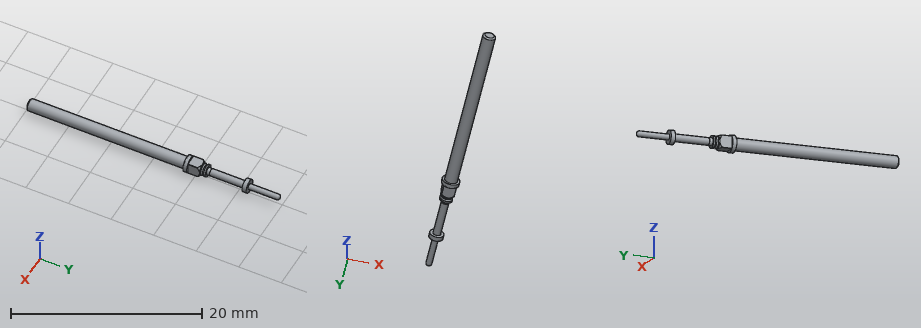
import cadquery as cq
import math

total_length = 29.5
collar_radius = 0.95
collar_length = 0.45
collar_rear = 10.95

tip_radius = 0.33
tip_round = 0.28
rod_radius = 0.42
disc_radius = 0.77
disc_front = 3.6
disc_length = 0.5
neck_start = 8.1
neck_start_radius = 0.38
neck_end_radius = 0.45

barrel_radius = 0.69
barrel_front = 8.45
front_rim_length = 0.2
rear_rim_length = 0.12
groove_length = 0.35
groove_depth = 0.1
rear_edge_length = 0.15
rear_edge_depth = 0.19

square_width = 2 * barrel_radius
cone_length = collar_radius - barrel_radius

disc_rear = disc_front + disc_length
groove_front = barrel_front + front_rim_length
groove_rear = groove_front + groove_length
groove_middle = (groove_front + groove_rear) / 2
cone_front = groove_rear + rear_rim_length
cone_rear = cone_front + cone_length
collar_front = collar_rear - collar_length


def y_at(station):
    """Y coordinate of a distance behind the plunger tip."""
    return collar_rear - station


def revolve_about_y(outline):
    """Turn a closed half outline about the Y axis."""
    return outline.close().revolve(360, (0, 0, 0), (0, 1, 0))


def make_plunger():
    """Round-tipped rod with a disc and a stepped-in neck that flares to the barrel."""
    bend = tip_round * math.sqrt(0.5)
    outline = (
        cq.Workplane("XY")
        .moveTo(0, y_at(0))
        .lineTo(tip_radius - tip_round, y_at(0))
        .threePointArc(
            (tip_radius - tip_round + bend, y_at(tip_round - bend)),
            (tip_radius, y_at(tip_round)),
        )
        .lineTo(tip_radius, y_at(disc_front))
        .lineTo(disc_radius, y_at(disc_front))
        .lineTo(disc_radius, y_at(disc_rear))
        .lineTo(rod_radius, y_at(disc_rear))
        .lineTo(rod_radius, y_at(neck_start))
        .lineTo(neck_start_radius, y_at(neck_start))
        .lineTo(neck_end_radius, y_at(barrel_front))
        .lineTo(0, y_at(barrel_front))
    )
    return revolve_about_y(outline)


def make_grooved_head():
    """Barrel front: V groove between two rims, then a cone that widens to the collar radius."""
    outline = (
        cq.Workplane("XY")
        .moveTo(0, y_at(barrel_front))
        .lineTo(barrel_radius, y_at(barrel_front))
        .lineTo(barrel_radius, y_at(groove_front))
        .lineTo(barrel_radius - groove_depth, y_at(groove_middle))
        .lineTo(barrel_radius, y_at(groove_rear))
        .lineTo(barrel_radius, y_at(cone_front))
        .lineTo(collar_radius, y_at(cone_rear))
        .lineTo(collar_radius, y_at(collar_front))
        .lineTo(0, y_at(collar_front))
    )
    return revolve_about_y(outline)


def make_square_envelope():
    """Square bar that cuts the four wrench flats on the barrel head."""
    length = collar_front - barrel_front
    center = y_at((barrel_front + collar_front) / 2)
    return cq.Workplane("XY").box(square_width, length, square_width).translate((0, center, 0))


def make_barrel():
    """Stop collar and long barrel with a bevelled rear edge."""
    outline = (
        cq.Workplane("XY")
        .moveTo(0, y_at(collar_front))
        .lineTo(collar_radius, y_at(collar_front))
        .lineTo(collar_radius, y_at(collar_rear))
        .lineTo(barrel_radius, y_at(collar_rear))
        .lineTo(barrel_radius, y_at(total_length - rear_edge_length))
        .lineTo(barrel_radius - rear_edge_depth, y_at(total_length))
        .lineTo(0, y_at(total_length))
    )
    return revolve_about_y(outline)


wrench_head = make_grooved_head().intersect(make_square_envelope())
result = make_plunger().union(wrench_head).union(make_barrel())